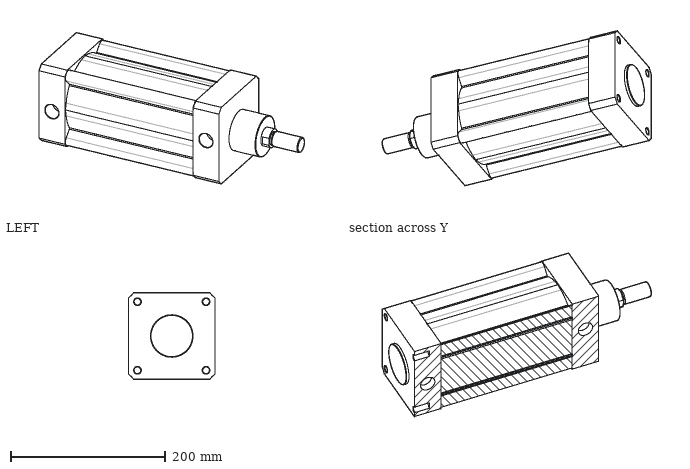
import cadquery as cq
import math


cap_side = 112.0
cap_length = 38.0
cap_corner_chamfer = 6.8

boss_diameter = 55.0
boss_chamfer = 0.7
disc_length = 4.0
nose_length = 38.5

screw_offset = 44.5
screw_hole_diameter = 8.5
screw_hole_depth = 21.5
screw_countersink = 0.7

port_diameter = 19.7
port_chamfer = 0.55
port_depth = 21.5
port_shift = 6.0

barrel_length = 187.0
barrel_radius = 53.5
ridge_half_width = 9.3
barrel_arc_end = 30.8
lobe_offset = 47.0
lobe_radius = 7.5

total_length = 358.0
rod_diameter = 25.0
rod_round_length = 2.0
flats_length = 9.3
flats_width = 23.0
neck_diameter = 18.5
neck_length = 2.0
neck_taper = 1.5
thread_diameter = 20.5
thread_chamfer = 1.0

rear_cap_start = disc_length
barrel_start = rear_cap_start + cap_length
front_cap_start = barrel_start + barrel_length
nose_start = front_cap_start + cap_length
rod_start = nose_start + nose_length


def yz_plane(x):
    """Plane facing +X at the given station, local x = Y and local y = Z."""
    return cq.Workplane("YZ", origin=(x, 0, 0))


def cap_block(x):
    """Square cap with chamfered long edges, starting at the given station."""
    block = yz_plane(x).rect(cap_side, cap_side).extrude(cap_length)
    return block.edges("|X").chamfer(cap_corner_chamfer)


def hole_cutter(mouth, direction, diameter, depth, chamfer):
    """Flat-bottomed blind hole starting at the mouth point, with a 45 degree chamfered edge."""
    radius = diameter / 2
    start = cq.Vector(*mouth)
    bore = cq.Solid.makeCylinder(radius, depth, start, direction)
    edge = cq.Solid.makeCone(radius + chamfer, radius, chamfer, start, direction)
    return cq.Workplane(bore).union(cq.Workplane(edge))


def port_cutter(x, z):
    """Air port drilled into the -Y side."""
    mouth = (x, -cap_side / 2, z)
    return hole_cutter(mouth, cq.Vector(0, 1, 0), port_diameter, port_depth, port_chamfer)


def screw_hole_cutter(y, z):
    """Tie screw hole drilled into the rear face of the rear cap."""
    mouth = (rear_cap_start, y, z)
    return hole_cutter(mouth, cq.Vector(1, 0, 0), screw_hole_diameter, screw_hole_depth, screw_countersink)


def make_rear_cap():
    cap = cap_block(rear_cap_start)
    disc = yz_plane(0).circle(boss_diameter / 2).extrude(disc_length)
    cap = cap.union(disc.faces("<X").chamfer(boss_chamfer))
    cap = cap.cut(port_cutter(rear_cap_start + cap_length / 2, -port_shift))
    for y in (-screw_offset, screw_offset):
        for z in (-screw_offset, screw_offset):
            cap = cap.cut(screw_hole_cutter(y, z))
    return cap


def make_front_cap():
    cap = cap_block(front_cap_start)
    nose = yz_plane(nose_start).circle(boss_diameter / 2).extrude(nose_length)
    cap = cap.union(nose.faces(">X").chamfer(boss_chamfer))
    return cap.cut(port_cutter(front_cap_start + cap_length / 2, port_shift))


def make_barrel():
    """Round wall with a shallow ridge on each side and a rounded lobe in each corner."""
    ridge_angle = math.asin(ridge_half_width / barrel_radius)
    ridge_flank = barrel_radius * math.cos(ridge_angle)
    ridge_peak = barrel_radius / math.cos(ridge_angle)
    arc_end_height = math.sqrt(barrel_radius**2 - barrel_arc_end**2)
    arc_middle_angle = (ridge_angle + math.asin(barrel_arc_end / barrel_radius)) / 2
    arc_middle = (barrel_radius * math.sin(arc_middle_angle), barrel_radius * math.cos(arc_middle_angle))

    diagonal = lobe_radius * math.sqrt(0.5)
    lobe_inner = lobe_offset - diagonal
    lobe_outer = lobe_offset + diagonal
    step_corner = arc_end_height - (lobe_outer - lobe_inner)

    quarter = (
        yz_plane(barrel_start)
        .moveTo(0, 0)
        .lineTo(0, ridge_peak)
        .lineTo(ridge_half_width, ridge_flank)
        .threePointArc(arc_middle, (barrel_arc_end, arc_end_height))
        .lineTo(step_corner, arc_end_height)
        .lineTo(lobe_inner, lobe_outer)
        .threePointArc((lobe_outer, lobe_outer), (lobe_outer, lobe_inner))
        .lineTo(arc_end_height, step_corner)
        .lineTo(arc_end_height, barrel_arc_end)
        .threePointArc(arc_middle[::-1], (ridge_flank, ridge_half_width))
        .lineTo(ridge_peak, 0)
        .close()
        .extrude(barrel_length)
    )
    barrel = quarter
    for turn in (90, 180, 270):
        barrel = barrel.union(quarter.rotate((0, 0, 0), (1, 0, 0), turn))
    return barrel


def make_rod():
    """Turned rod with two wrench flats facing -Y and +Y, a neck and a plain thread."""
    flats_start = rod_start + rod_round_length
    flats_end = flats_start + flats_length
    neck_end = flats_end + neck_length

    rod = (
        cq.Workplane("XZ")
        .moveTo(rod_start, 0)
        .lineTo(rod_start, rod_diameter / 2)
        .lineTo(flats_end, rod_diameter / 2)
        .lineTo(flats_end, neck_diameter / 2)
        .lineTo(neck_end, neck_diameter / 2)
        .lineTo(neck_end + neck_taper, thread_diameter / 2)
        .lineTo(total_length - thread_chamfer, thread_diameter / 2)
        .lineTo(total_length, thread_diameter / 2 - thread_chamfer)
        .lineTo(total_length, 0)
        .close()
        .revolve(360, (0, 0, 0), (1, 0, 0))
    )

    for side in (-1, 1):
        waste = yz_plane(flats_start).center(side * rod_diameter / 2, 0)
        waste = waste.rect(rod_diameter - flats_width, rod_diameter).extrude(flats_length)
        rod = rod.cut(waste)
    return rod


rear_cap = make_rear_cap()
barrel = make_barrel()
front_cap = make_front_cap()
rod = make_rod()

result = cq.Compound.makeCompound([rear_cap.val(), barrel.val(), front_cap.val(), rod.val()])